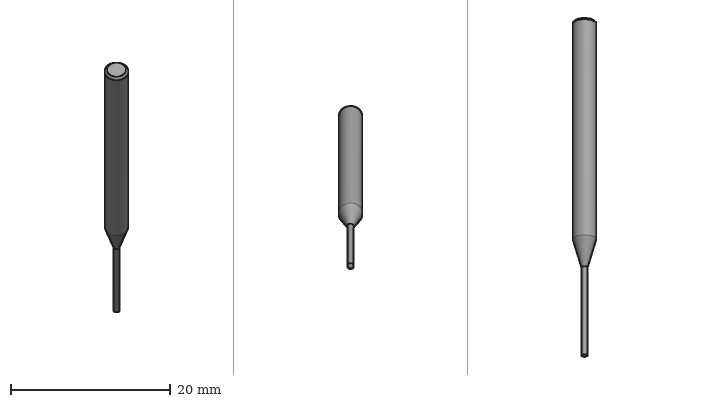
import cadquery as cq

total_length = 45.0
shank_diameter = 3.0
end_chamfer = 0.3
drill_length = 12.0
drill_diameter = 0.8
tip_height = 0.22
taper_length = 3.82

shank_radius = shank_diameter / 2
drill_radius = drill_diameter / 2
taper_top = drill_length + taper_length


def revolve_about_z(profile):
    """Revolve an outline of (radius, height) points into a solid about Z."""
    return cq.Workplane("XZ").polyline(profile).close().revolve(360, (0, 0), (0, 1))


shank = revolve_about_z([
    (0, drill_length),
    (drill_radius, drill_length),
    (shank_radius, taper_top),
    (shank_radius, total_length - end_chamfer),
    (shank_radius - end_chamfer, total_length),
    (0, total_length),
])

drill = revolve_about_z([
    (0, 0),
    (drill_radius, tip_height),
    (drill_radius, drill_length),
    (0, drill_length),
])

result = cq.Compound.makeCompound([shank.val(), drill.val()])